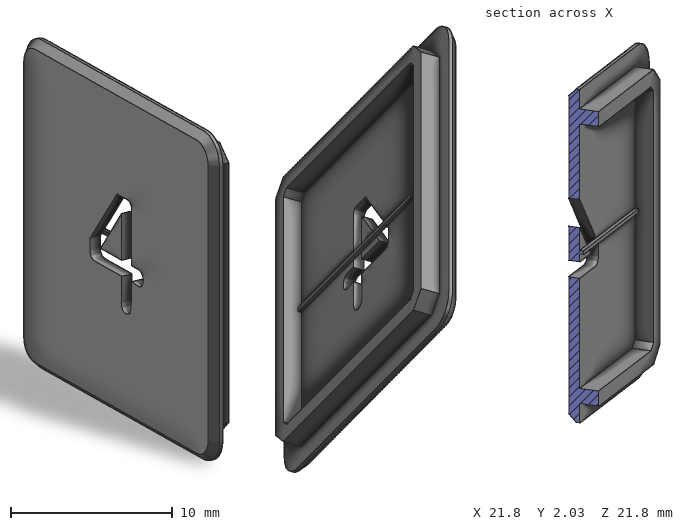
import cadquery as cq
import math

PLATE_SIDE = 21.844
PLATE_THICKNESS = 0.762
PLATE_CORNER_RADIUS = 1.778
FRONT_CHAMFER = 0.508

TOTAL_DEPTH = 2.032
RIM_INSET = 1.27
RIM_CORNER_CHAMFER = 1.016
RIM_WALL = 1.016

STEM_LEFT = 0.66
STEM_RIGHT = 1.75
STEM_LEAN = 0.07
NUMERAL_TOP = 3.85
NUMERAL_BOTTOM = -3.77
NUMERAL_LEFT = -2.91
NUMERAL_RIGHT = 3.08
CROSSBAR_TOP = -0.38
CROSSBAR_BOTTOM = -1.44
CROSSBAR_DROP = 0.09
DIAGONAL_SLOPE = 1.3
DIAGONAL_FOOT = -0.09
ISLAND_LEFT = -1.74

SHARP = 0
DIAGONAL_RADIUS = 0.15
TOP_RIGHT_RADIUS = 0.4
LOWER_LEFT_RADIUS = 0.5
TIP_RADIUS = 0.53

BRIDGE_BOTTOM = 0.14
BRIDGE_HEIGHT = 0.254
BRIDGE_DEPTH = 0.254


def slab(front, depth):
    """XZ workplane at the given front position, with the extrusion length toward +Y."""
    return cq.Workplane("XZ", origin=(0, front, 0)), -depth


def rounded_outline(plane, corners):
    """Closed outline through (x, z, radius) corners, each rounded by a tangent arc."""
    path = None
    count = len(corners)
    for index, (x, z, radius) in enumerate(corners):
        corner = cq.Vector(x, z)
        before = (cq.Vector(*corners[index - 1][:2]) - corner).normalized()
        after = (cq.Vector(*corners[(index + 1) % count][:2]) - corner).normalized()
        half_angle = before.getAngle(after) / 2
        setback = radius / math.tan(half_angle)
        start = corner + before * setback
        path = plane.moveTo(start.x, start.y) if path is None else path.lineTo(start.x, start.y)
        if radius > 0:
            bisector = (before + after).normalized()
            middle = corner + bisector * (radius / math.sin(half_angle) - radius)
            end = corner + after * setback
            path = path.threePointArc((middle.x, middle.y), (end.x, end.y))
    return path.close()


def face_plate():
    plane, length = slab(0, PLATE_THICKNESS)
    plate = plane.rect(PLATE_SIDE, PLATE_SIDE).extrude(length)
    plate = plate.edges("|Y").fillet(PLATE_CORNER_RADIUS)
    return plate.faces("<Y").edges().chamfer(FRONT_CHAMFER)


def back_rim():
    plane, length = slab(PLATE_THICKNESS, TOTAL_DEPTH - PLATE_THICKNESS)
    outer_side = PLATE_SIDE - 2 * RIM_INSET
    outer = plane.rect(outer_side, outer_side).extrude(length)
    outer = outer.edges("|Y").chamfer(RIM_CORNER_CHAMFER)
    inner_side = outer_side - 2 * RIM_WALL
    inner_chamfer = RIM_CORNER_CHAMFER - RIM_WALL * (2 - math.sqrt(2))
    inner = plane.rect(inner_side, inner_side).extrude(length)
    inner = inner.edges("|Y").chamfer(inner_chamfer)
    return outer.cut(inner)


def numeral_opening():
    plane, length = slab(0, PLATE_THICKNESS)
    diagonal_top_x = NUMERAL_LEFT + (NUMERAL_TOP - DIAGONAL_FOOT) / DIAGONAL_SLOPE
    outline = rounded_outline(plane, [
        (diagonal_top_x, NUMERAL_TOP, DIAGONAL_RADIUS),
        (STEM_RIGHT, NUMERAL_TOP, TOP_RIGHT_RADIUS),
        (STEM_RIGHT, CROSSBAR_TOP, SHARP),
        (NUMERAL_RIGHT, CROSSBAR_TOP, TIP_RADIUS),
        (NUMERAL_RIGHT, CROSSBAR_BOTTOM - CROSSBAR_DROP, TIP_RADIUS),
        (STEM_RIGHT, CROSSBAR_BOTTOM, SHARP),
        (STEM_RIGHT - STEM_LEAN, NUMERAL_BOTTOM, TIP_RADIUS),
        (STEM_LEFT - STEM_LEAN, NUMERAL_BOTTOM, TIP_RADIUS),
        (STEM_LEFT, CROSSBAR_BOTTOM, SHARP),
        (NUMERAL_LEFT, CROSSBAR_BOTTOM, LOWER_LEFT_RADIUS),
        (NUMERAL_LEFT, DIAGONAL_FOOT, DIAGONAL_RADIUS),
    ])
    return outline.extrude(length).cut(numeral_island())


def numeral_island():
    """Triangle enclosed by the diagonal, the stem and the crossbar."""
    plane, length = slab(0, PLATE_THICKNESS)
    apex = CROSSBAR_TOP + (STEM_LEFT - ISLAND_LEFT) * DIAGONAL_SLOPE
    corners = [(ISLAND_LEFT, CROSSBAR_TOP), (STEM_LEFT, CROSSBAR_TOP), (STEM_LEFT, apex)]
    return plane.polyline(corners).close().extrude(length)


def bridge():
    plane, length = slab(PLATE_THICKNESS, BRIDGE_DEPTH)
    width = PLATE_SIDE - 2 * RIM_INSET - RIM_WALL
    middle_height = BRIDGE_BOTTOM + BRIDGE_HEIGHT / 2
    return plane.center(0, middle_height).rect(width, BRIDGE_HEIGHT).extrude(length)


result = face_plate().cut(numeral_opening()).union(back_rim()).union(bridge())